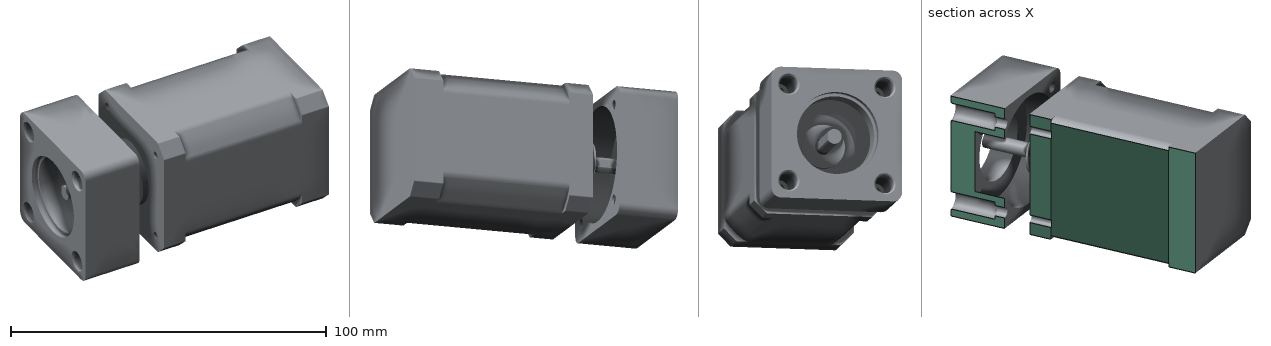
import cadquery as cq

width = 42.1
overall_length = 88.65
screw_spacing = 31

shaft_tip = 4.25
block_back = 19.7
flange_front = 22.5
hub_front = 23.2
pilot_front = 26.7
front_cap_front = 28.6
stator_front = 36.4
rear_cap_front = 78.9

block_corner_radius = 3.0
bore_diameter = 25.0
front_recess_diameter = 27.0
front_recess_depth = 2.0
back_cavity_diameter = 37.4
back_cavity_depth = 10.8
counterbore_diameter = 5.85
counterbore_depth = 16
counterbore_chamfer = 0.5
clearance_diameter = 3.5

cap_chamfer = 4.1
cap_edge_radius = 0.5
pilot_diameter = 22.0
tapped_diameter = 2.5

stator_corner_radius = 25.2
stator_edge_radius = 3.0

hub_diameter = 12.0
flange_diameter = 14.0
bearing_bore = 5.2

shaft_diameter = 4.8
shaft_flat_offset = 2.0


def plane_at(y):
    """Sketch plane at y, with its normal pointing to the rear (+Y)."""
    return cq.Workplane("ZX", origin=(0, y, 0))


def cylinder(diameter, start, end):
    """Cylinder on the motor axis, from y = start to y = end."""
    return plane_at(start).circle(diameter / 2).extrude(end - start)


def square_bar(start, end):
    """Bar of the full square section, from y = start to y = end."""
    return plane_at(start).rect(width, width).extrude(end - start)


def screw_cutters(diameter, start, end, taper=0):
    """Four cutters at the screw positions, narrowing to the rear by the taper angle."""
    screw_square = plane_at(start).rect(screw_spacing, screw_spacing, forConstruction=True)
    return screw_square.vertices().circle(diameter / 2).extrude(end - start, taper=taper)


def make_mount_block():
    block = square_bar(0, block_back).edges("|Y").fillet(block_corner_radius)

    block = block.cut(cylinder(bore_diameter, 0, block_back))
    block = block.cut(cylinder(front_recess_diameter, 0, front_recess_depth))
    block = block.cut(cylinder(back_cavity_diameter, block_back - back_cavity_depth, block_back))

    block = block.cut(screw_cutters(clearance_diameter, 0, block_back))
    block = block.cut(screw_cutters(counterbore_diameter, 0, counterbore_depth))
    mouth_diameter = counterbore_diameter + 2 * counterbore_chamfer
    return block.cut(screw_cutters(mouth_diameter, 0, counterbore_chamfer, taper=45))


def make_end_cap(start, end):
    """Square cap with chamfered corners and slightly rounded chamfer edges."""
    cap = square_bar(start, end).edges("|Y").chamfer(cap_chamfer)
    return cap.edges("|Y").fillet(cap_edge_radius)


def make_front_cap():
    cap = make_end_cap(front_cap_front, stator_front)
    cap = cap.union(cylinder(pilot_diameter, pilot_front, front_cap_front))
    cap = cap.cut(screw_cutters(tapped_diameter, front_cap_front, stator_front))
    return cap.cut(cylinder(shaft_diameter, pilot_front, stator_front))


def make_stator():
    """Square bar whose corners are turned round about the motor axis."""
    stator = square_bar(stator_front, rear_cap_front)
    stator = stator.intersect(cylinder(2 * stator_corner_radius, stator_front, rear_cap_front))
    return stator.edges("|Y").fillet(stator_edge_radius)


def make_bearing():
    hub = cylinder(hub_diameter, hub_front, pilot_front)
    flange = cylinder(flange_diameter, flange_front, hub_front)
    return hub.union(flange).cut(cylinder(bearing_bore, flange_front, pilot_front))


def make_shaft():
    """Round shaft with a flat on its -X side over the length in front of the pilot."""
    shaft = cylinder(shaft_diameter, shaft_tip, stator_front)
    flat_cutter = (
        plane_at(shaft_tip)
        .center(0, -shaft_flat_offset - shaft_diameter / 2)
        .rect(shaft_diameter, shaft_diameter)
        .extrude(pilot_front - shaft_tip)
    )
    return shaft.cut(flat_cutter)


mount_block = make_mount_block()
front_cap = make_front_cap()
stator = make_stator()
rear_cap = make_end_cap(rear_cap_front, overall_length)
bearing = make_bearing()
shaft = make_shaft()

result = cq.Compound.makeCompound(
    [
        mount_block.val(),
        front_cap.val(),
        stator.val(),
        rear_cap.val(),
        bearing.val(),
        shaft.val(),
    ]
)